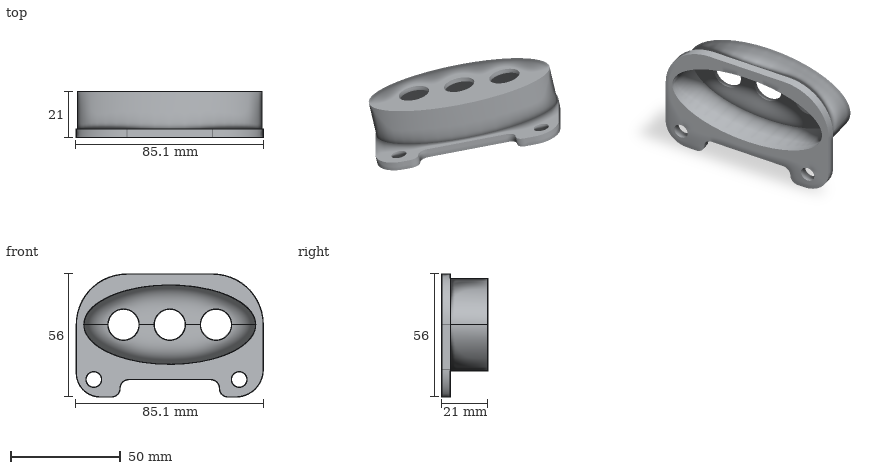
import cadquery as cq

flange_width = 85.1
flange_thickness = 4.0
flange_top = 23.05
flange_bottom = -32.9
top_corner_radius = flange_top
left_corner_radius = 11.0
right_corner_radius = 12.5

notch_width = 45.1
notch_top = -25.0
notch_fillet_radius = (notch_top - flange_bottom) / 2

mount_hole_diameter = 7.0
mount_hole_rise = 8.0
left_hole_inset = 8.0
right_hole_inset = 11.0

total_depth = 21.0
cup_width = 84.0
cup_height = 42.0
wall = 3.0
floor_thickness = 2.0
opening_width = cup_width - 2 * wall
opening_height = cup_height - 2 * wall
cup_depth = total_depth - flange_thickness

port_diameter = 14.0
port_spacing = 21.0
port_count = 3


def plane_at(y):
    """XZ plane at the given Y, with extrusions running toward +Y."""
    return cq.Workplane("XZ", origin=(0, y, 0))


def elliptical_prism(y, width, height, depth):
    return plane_at(y).ellipse(width / 2, height / 2).extrude(-depth)


def flange_blank():
    """Plate with rounded outer corners and a notch with S-shaped sides."""
    height = flange_top - flange_bottom
    middle = (flange_top + flange_bottom) / 2
    plate = plane_at(0).center(0, middle).rect(flange_width, height).extrude(-flange_thickness)
    plate = plate.edges("|Y and >Z").fillet(top_corner_radius)
    plate = plate.edges("|Y and <Z and <X").fillet(left_corner_radius)
    plate = plate.edges("|Y and <Z and >X").fillet(right_corner_radius)

    half = notch_width / 2
    radius = notch_fillet_radius
    turn_height = flange_bottom + radius
    notch = (
        plane_at(0)
        .moveTo(-half - radius, flange_bottom)
        .radiusArc((-half, turn_height), -radius)
        .radiusArc((-half + radius, notch_top), radius)
        .lineTo(half - radius, notch_top)
        .radiusArc((half, turn_height), radius)
        .radiusArc((half + radius, flange_bottom), -radius)
        .close()
        .extrude(-flange_thickness)
    )
    return plate.cut(notch)


def mount_holes():
    left_x = -flange_width / 2 + left_hole_inset
    right_x = flange_width / 2 - right_hole_inset
    hole_z = flange_bottom + mount_hole_rise
    return (
        plane_at(0)
        .pushPoints([(left_x, hole_z), (right_x, hole_z)])
        .circle(mount_hole_diameter / 2)
        .extrude(-flange_thickness)
    )


def cavity():
    """Elliptical space running from the front of the flange to the cup floor."""
    return elliptical_prism(0, opening_width, opening_height, total_depth - floor_thickness)


def ports():
    return (
        plane_at(0)
        .rarray(port_spacing, 0.85, port_count, 1)
        .circle(port_diameter / 2)
        .extrude(-total_depth)
    )


def half_cup_blank(side):
    """Solid half of the cup's outer shape: side is +1 above mid-height, -1 below."""
    half_box = (
        plane_at(flange_thickness)
        .center(0, side * cup_height / 2)
        .rect(cup_width, cup_height)
        .extrude(-cup_depth)
    )
    return elliptical_prism(flange_thickness, cup_width, cup_height, cup_depth).intersect(half_box)


def make_housing():
    """Flange with the upper half of the cup in one piece."""
    blank = flange_blank().union(half_cup_blank(1))
    return blank.cut(cavity()).cut(ports()).cut(mount_holes())


def make_lower_cup():
    """Lower half of the cup, resting against the flange and the upper half."""
    return half_cup_blank(-1).cut(cavity()).cut(ports())


housing = make_housing()
lower_cup = make_lower_cup()

result = cq.Compound.makeCompound([housing.val(), lower_cup.val()])